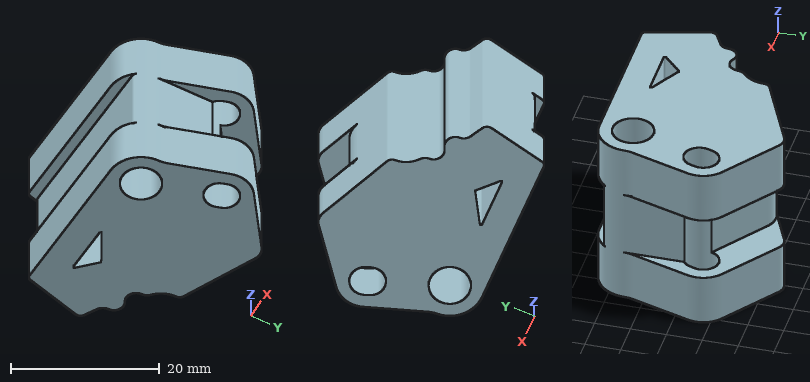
import cadquery as cq
import math

HEIGHT = 24.3
DEPTH = 24.9
MID_Z = HEIGHT / 2

RIGHT_NORMAL = -18.0
BACK_RIGHT_NORMAL = 54.0
BACK_LEFT_NORMAL = 114.4
LEFT_NORMAL = 194.7
FRONT_NORMAL = 270.0

PIVOT_RADIUS = 4.7
PIVOT = (24.58, PIVOT_RADIUS)
PIVOT_HOLE_DIAMETER = 5.7
BLEND_RADIUS = 4.0
BLEND = (PIVOT[0] + PIVOT_RADIUS + BLEND_RADIUS, PIVOT[1])

LUG_RADIUS = 4.0
LUG = (32.3 - LUG_RADIUS, 15.5)
OVAL_RADIUS = 2.13
OVAL_SPACING = 0.68

APEX_RADIUS = 2.0
APEX = (21.6, DEPTH - APEX_RADIUS)
LEFT_RADIUS = 1.0
LEFT = (LEFT_RADIUS, 9.05)
FOOT_RADIUS = 0.65
FOOT = (2.87, FOOT_RADIUS)

WAVE_RADIUS = 1.5
FIRST_HOLLOW = (1.55, 12.18)
FIRST_CREST = (FIRST_HOLLOW[0] + 2 * WAVE_RADIUS, FIRST_HOLLOW[1])
WAVE_ANGLE = 58.0
SECOND_HOLLOW = (
    FIRST_CREST[0] + 2 * WAVE_RADIUS * math.cos(math.radians(WAVE_ANGLE)),
    FIRST_CREST[1] + 2 * WAVE_RADIUS * math.sin(math.radians(WAVE_ANGLE)),
)
SECOND_CREST = (SECOND_HOLLOW[0] + 2 * WAVE_RADIUS, SECOND_HOLLOW[1])
LARGE_HOLLOW_RADIUS = 4.0
LARGE_HOLLOW_ANGLE = 130.0
CENTRE_GAP = WAVE_RADIUS + LARGE_HOLLOW_RADIUS
LARGE_HOLLOW = (
    SECOND_CREST[0] + CENTRE_GAP * math.cos(math.radians(LARGE_HOLLOW_ANGLE)),
    SECOND_CREST[1] + CENTRE_GAP * math.sin(math.radians(LARGE_HOLLOW_ANGLE)),
)
LIP_RADIUS = 1.0
LIP = (LARGE_HOLLOW[0] + LARGE_HOLLOW_RADIUS + LIP_RADIUS, LARGE_HOLLOW[1])

WINDOW_CORNERS = [(6.85, 4.3), (14.83, 4.3), (9.8, 7.15)]
WINDOW_FILLET = 0.15

RECESS_HEIGHT = 10.0
RECESS_DEPTH = 1.52
RECESS_FILLET = 0.75

SLOT_HEIGHT = 9.5
SLOT_DEPTH = 4.75
SLOT_CORNER_RADIUS = 3.23
SLOT_SIDE_X = PIVOT[0] + PIVOT_RADIUS

CLEARANCE = 38.75


def polar(centre, radius, angle):
    """Point at a radius and angle (degrees) from a centre."""
    turn = math.radians(angle)
    return (centre[0] + radius * math.cos(turn), centre[1] + radius * math.sin(turn))


def prism(sketch, height):
    """Extrude a closed outline by a height centred on the middle of the block."""
    return sketch.extrude(height).translate((0, 0, MID_Z - height / 2))


def body(height):
    arcs = [
        (PIVOT, PIVOT_RADIUS, FRONT_NORMAL, 360),
        (BLEND, BLEND_RADIUS, 180, 180 + RIGHT_NORMAL),
        (LUG, LUG_RADIUS, RIGHT_NORMAL, BACK_RIGHT_NORMAL),
        (APEX, APEX_RADIUS, BACK_RIGHT_NORMAL, BACK_LEFT_NORMAL),
        (LIP, LIP_RADIUS, BACK_LEFT_NORMAL, 180),
        (LARGE_HOLLOW, LARGE_HOLLOW_RADIUS, 0, LARGE_HOLLOW_ANGLE - 180),
        (SECOND_CREST, WAVE_RADIUS, LARGE_HOLLOW_ANGLE, 180),
        (SECOND_HOLLOW, WAVE_RADIUS, 0, WAVE_ANGLE - 180),
        (FIRST_CREST, WAVE_RADIUS, WAVE_ANGLE, 180),
        (FIRST_HOLLOW, WAVE_RADIUS, 0, BACK_LEFT_NORMAL - 180),
        (LEFT, LEFT_RADIUS, BACK_LEFT_NORMAL, LEFT_NORMAL),
        (FOOT, FOOT_RADIUS, LEFT_NORMAL, FRONT_NORMAL),
    ]
    outline = cq.Workplane("XY").moveTo(FOOT[0], 0)
    position = (FOOT[0], 0)
    for centre, radius, start_angle, end_angle in arcs:
        start = polar(centre, radius, start_angle)
        if math.dist(position, start) > 0.0003:
            outline = outline.lineTo(*start)
        position = polar(centre, radius, end_angle)
        middle = polar(centre, radius, (start_angle + end_angle) / 2)
        outline = outline.threePointArc(middle, position)
    return prism(outline.close(), height)


def front_recess():
    """Material in front of a recessed floor with rounded ends."""
    cutter = cq.Workplane("XY").rect(2 * CLEARANCE, 2 * RECESS_DEPTH)
    layer = body(RECESS_HEIGHT)
    core = layer.cut(prism(cutter, RECESS_HEIGHT))
    floor_ends = core.faces("<Y").edges("|Z")
    core = floor_ends.fillet(RECESS_FILLET)
    return layer.cut(core)


def link_slot():
    """Region beyond a floor parallel to the back right side, widened down to the pivot."""
    floor_point = polar(LUG, LUG_RADIUS - SLOT_DEPTH, BACK_RIGHT_NORMAL)
    fall = math.tan(math.radians(90 - BACK_RIGHT_NORMAL))
    floor_end_y = floor_point[1] - (SLOT_SIDE_X - floor_point[0]) * fall
    cutter = cq.Workplane("XY").polyline([
        (SLOT_SIDE_X, PIVOT[1]),
        (SLOT_SIDE_X, floor_end_y),
        (SLOT_SIDE_X - CLEARANCE, floor_end_y + CLEARANCE * fall),
        (CLEARANCE, floor_end_y + CLEARANCE * fall),
        (CLEARANCE, PIVOT[1]),
    ]).close()
    layer = body(SLOT_HEIGHT)
    core = layer.cut(prism(cutter, SLOT_HEIGHT))
    core = core.edges("|Z").edges(">Y").fillet(SLOT_CORNER_RADIUS)
    return layer.cut(core)


def oval_hole():
    oval_angle = 90 + RIGHT_NORMAL
    centre = polar(LUG, -OVAL_SPACING / 2, oval_angle)
    length = OVAL_SPACING + 2 * OVAL_RADIUS
    outline = cq.Workplane("XY").center(*centre).slot2D(length, 2 * OVAL_RADIUS, oval_angle)
    return outline.extrude(HEIGHT)


def pivot_hole():
    return cq.Workplane("XY").center(*PIVOT).circle(PIVOT_HOLE_DIAMETER / 2).extrude(HEIGHT)


def window():
    triangle = cq.Workplane("XY").polyline(WINDOW_CORNERS).close().extrude(HEIGHT)
    return triangle.edges("|Z").fillet(WINDOW_FILLET)


result = body(HEIGHT)
for cutter in (front_recess(), link_slot(), oval_hole(), pivot_hole(), window()):
    result = result.cut(cutter)